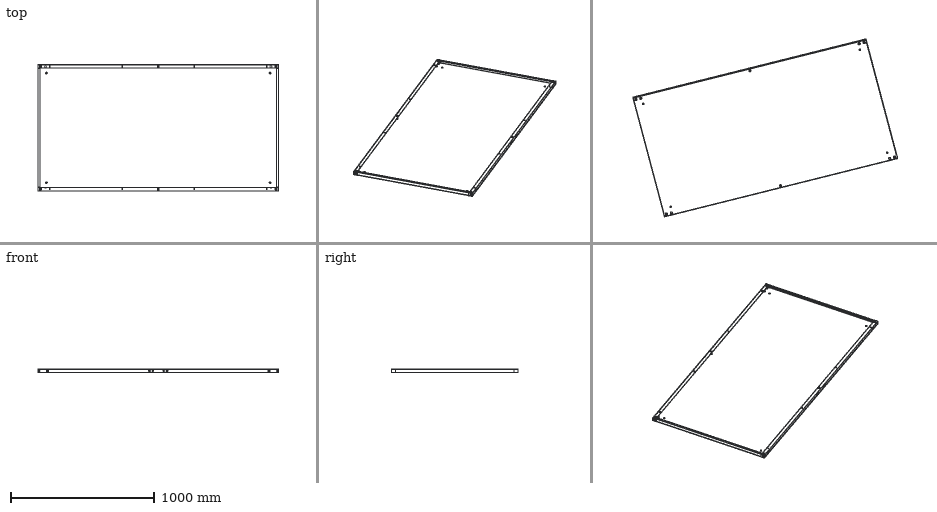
import cadquery as cq

length = 1683.02
width = 886.0
height = 25.0

sheet = 2.5
bend_radius = sheet

side_flange = 25.0
end_flange = 14.0
corner_gap = 28.5
end_fold_length = width - 2 * corner_gap

half_length = length / 2
half_width = width / 2
mid_height = height / 2
flange_underside = height - sheet

panel_hole_diameter = 9.0
panel_hole_x = 782.0
panel_hole_y = 383.0
access_row_y = half_width - 16.0
access_hole_diameter = 13.0
access_hole_x = 788.0
center_access_diameter = 12.0
corner_access_diameter = 15.0

flange_row_y = half_width - 15.0
flange_hole_diameter = 6.0
flange_hole_xs = (252.0, 759.0)
center_flange_diameter = 10.0
corner_flange_diameter = 10.0
corner_hole_x = half_length - 17.5

wall_holes = (
    (38.0, 6.0),
    (62.0, 10.0),
    (774.0, 12.0),
    (833.0, 6.0),
)


def folded_edge(plane, origin, floor_strip, flange, run):
    """C-shaped edge with its wall at the profile origin, a floor strip below and a return flange above."""
    return (
        cq.Workplane(plane, origin=origin)
        .moveTo(floor_strip, 0)
        .lineTo(bend_radius, 0)
        .tangentArcPoint((0, bend_radius), relative=False)
        .lineTo(0, height - bend_radius)
        .tangentArcPoint((bend_radius, height), relative=False)
        .lineTo(flange, height)
        .lineTo(flange, flange_underside)
        .lineTo(sheet, flange_underside)
        .lineTo(sheet, sheet)
        .lineTo(floor_strip, sheet)
        .close()
        .extrude(run)
    )


def make_tray():
    """Floor with a folded edge on all four sides and open corners."""
    floor = cq.Workplane("XY").rect(length - 2 * bend_radius, end_fold_length).extrude(sheet)
    side = folded_edge("YZ", (-half_length, -half_width, 0), corner_gap, side_flange, length)
    end = folded_edge("XZ", (-half_length, end_fold_length / 2, 0), end_flange, end_flange, end_fold_length)
    tray = floor
    for fold in (side, side.mirror("XZ"), end, end.mirror("YZ")):
        tray = tray.union(fold)
    return tray


def mirrored_points(x, y):
    """The point and its mirror images about both centre lines, without repeats."""
    xs = (x, -x) if x else (0,)
    return [(px, py) for px in xs for py in (y, -y)]


def drill(bottom, x, y, diameter):
    """Cutters through one sheet thickness, starting at height `bottom`."""
    return (
        cq.Workplane("XY", origin=(0, 0, bottom))
        .pushPoints(mirrored_points(x, y))
        .circle(diameter / 2)
        .extrude(sheet)
    )


def cut_floor_holes(tray):
    """Four panel holes, and access holes below the flanges of the long sides."""
    tray = tray.cut(drill(0, panel_hole_x, panel_hole_y, panel_hole_diameter))
    tray = tray.cut(drill(0, access_hole_x, access_row_y, access_hole_diameter))
    tray = tray.cut(drill(0, 0, flange_row_y, center_access_diameter))
    return tray.cut(drill(0, corner_hole_x, flange_row_y, corner_access_diameter))


def cut_flange_holes(tray):
    """Row of holes along the return flange of each long side."""
    for x in flange_hole_xs:
        tray = tray.cut(drill(flange_underside, x, flange_row_y, flange_hole_diameter))
    tray = tray.cut(drill(flange_underside, 0, flange_row_y, center_flange_diameter))
    return tray.cut(drill(flange_underside, corner_hole_x, flange_row_y, corner_flange_diameter))


def cut_wall_holes(tray):
    """Holes at mid height through both long side walls."""
    for x, diameter in wall_holes:
        cutter = (
            cq.Workplane("XZ", origin=(0, half_width, 0))
            .pushPoints([(x, mid_height), (-x, mid_height)])
            .circle(diameter / 2)
            .extrude(width)
        )
        tray = tray.cut(cutter)
    return tray


result = cut_wall_holes(cut_flange_holes(cut_floor_holes(make_tray())))